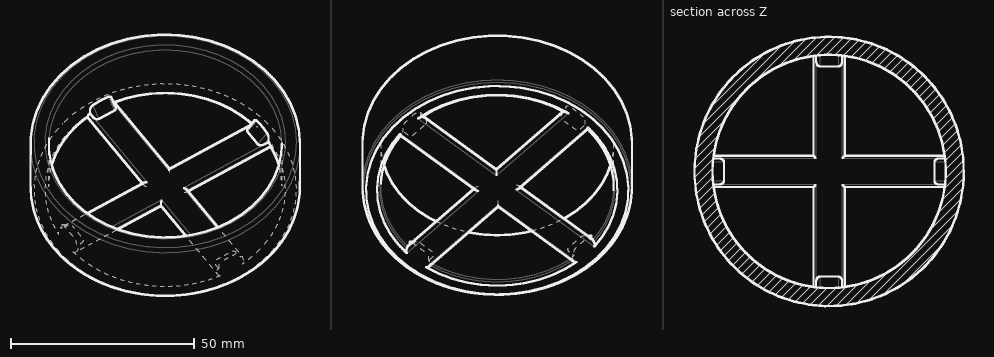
import cadquery as cq

outer_diameter = 73.5
bore_diameter = 63.5
ring_height = 22.0
rim_fillet = 1.0
base_chamfer = 1.0
base_shoulder_fillet = 1.0

arm_width = 8.6
arm_thickness = 2.0
arm_fillet = 0.75

stop_count = 4
stop_width = arm_width - 2 * arm_fillet
stop_reach = 3.1
stop_rise = 3.0
stop_fillet = 1.0

outer_radius = outer_diameter / 2
bore_radius = bore_diameter / 2
wall_middle_radius = (outer_radius + bore_radius) / 2


def make_ring():
    """Ring with a rounded rim and a chamfered base whose shoulders are blended into the walls."""
    ring = cq.Workplane("XY").circle(outer_radius).circle(bore_radius).extrude(ring_height)
    ring = ring.faces(">Z").edges().fillet(rim_fillet)
    ring = ring.faces("<Z").edges().chamfer(base_chamfer)
    shoulder_band = cq.selectors.BoxSelector(
        (-outer_diameter, -outer_diameter, base_chamfer / 2),
        (outer_diameter, outer_diameter, 2 * base_chamfer),
        boundingbox=False,
    )
    shoulders = ring.edges("%CIRCLE").edges(shoulder_band)
    return shoulders.fillet(base_shoulder_fillet)


def make_cross():
    """Two crossing bars with rounded long edges, ending inside the ring wall."""
    arm_length = 2 * wall_middle_radius
    bar_x = cq.Workplane("XY").rect(arm_length, arm_width).extrude(arm_thickness)
    bar_y = cq.Workplane("XY").rect(arm_width, arm_length).extrude(arm_thickness)
    cross = bar_x.union(bar_y)
    return cross.faces("|Z").edges().fillet(arm_fillet)


def make_stop():
    """Wedge on the +X arm, rising toward the wall, with its two sloped edges rounded."""
    toe_radius = bore_radius - stop_reach
    buried_length = wall_middle_radius - toe_radius
    buried_rise = buried_length * stop_rise / stop_reach
    wedge = (
        cq.Workplane("XZ")
        .moveTo(toe_radius, arm_thickness)
        .lineTo(wall_middle_radius, arm_thickness)
        .lineTo(wall_middle_radius, arm_thickness + buried_rise)
        .close()
        .extrude(stop_width / 2, both=True)
    )
    slope_direction = cq.Vector(stop_reach, 0, stop_rise)
    sloped_edges = wedge.edges(cq.selectors.ParallelDirSelector(slope_direction))
    return sloped_edges.fillet(stop_fillet)


result = make_ring().union(make_cross())
for index in range(stop_count):
    stop = make_stop().rotate((0, 0, 0), (0, 0, 1), index * 360 / stop_count)
    result = result.union(stop)